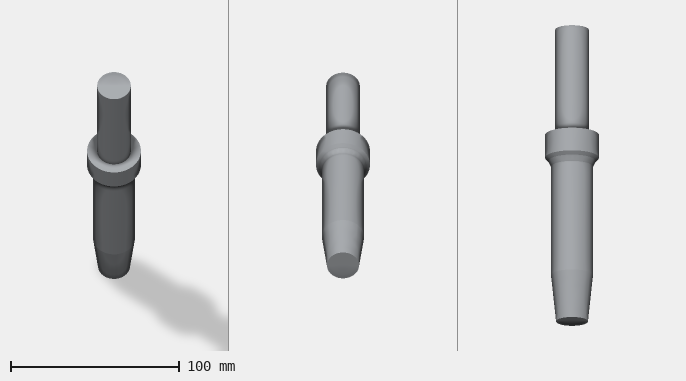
import cadquery as cq

total_length = 180.0
shank_diameter = 20.0
shank_length = 65.0
collar_diameter = 32.0
collar_height = 14.0
collar_chamfer = 2.0
neck_cone_height = 3.5
body_diameter = 25.0
tip_diameter = 19.0
taper_length = 28.5

shank_r = shank_diameter / 2
collar_r = collar_diameter / 2
chamfer_r = collar_r - collar_chamfer
body_r = body_diameter / 2
tip_r = tip_diameter / 2

collar_top_z = total_length - shank_length
collar_bottom_z = collar_top_z - collar_height
chamfer_bottom_z = collar_bottom_z - collar_chamfer
body_top_z = chamfer_bottom_z - neck_cone_height

profile = (
    cq.Workplane("XZ")
    .moveTo(0, 0)
    .lineTo(tip_r, 0)
    .lineTo(body_r, taper_length)
    .lineTo(body_r, body_top_z)
    .lineTo(chamfer_r, chamfer_bottom_z)
    .lineTo(collar_r, collar_bottom_z)
    .lineTo(collar_r, collar_top_z)
    .lineTo(shank_r, collar_top_z)
    .lineTo(shank_r, total_length)
    .lineTo(0, total_length)
    .close()
)

result = profile.revolve(360, (0, 0, 0), (0, 1, 0))